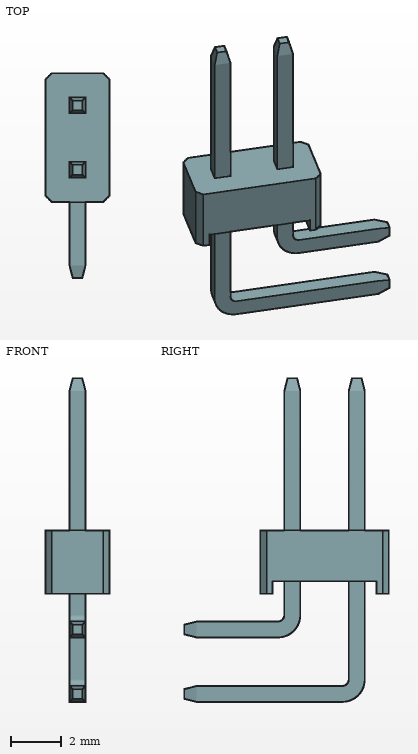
import cadquery as cq

pitch = 2.54
total_height = 12.76
total_depth = 8.08

body_width = pitch
body_length = 2 * pitch
body_height = 2.5
corner_chamfer = 0.25
foot_height = 0.5
foot_length = 0.5

pin_size = 0.64
tip_size = 0.38
tip_length = 0.5
inner_bend_radius = 0.25
pin_rise = 6.0

pin_top = body_height + pin_rise
pin_front = body_length / 2 - total_depth
lowest_axis = pin_top - total_height + pin_size / 2
bend_radius = inner_bend_radius + pin_size / 2


def make_body():
    block = cq.Workplane("XY").box(body_width, body_length, body_height, centered=(True, True, False))
    block = block.edges("|Z").chamfer(corner_chamfer)
    channel_length = body_length - 2 * foot_length
    channel = cq.Workplane("XY").box(body_width, channel_length, foot_height, centered=(True, True, False))
    return block.cut(channel)


def make_tip(base_plane):
    """Taper from the full pin section to the small flat end."""
    return (
        cq.Workplane(base_plane)
        .rect(pin_size, pin_size)
        .workplane(offset=tip_length)
        .rect(tip_size, tip_size)
        .loft(ruled=True, combine=True)
    )


def make_pin(y, axis_z):
    """Pin standing at y that bends toward -Y at height axis_z."""
    shaft_top = pin_top - tip_length
    shaft_front = pin_front + tip_length
    path = (
        cq.Workplane("YZ")
        .moveTo(y, shaft_top)
        .lineTo(y, axis_z + bend_radius)
        .tangentArcPoint((y - bend_radius, axis_z), relative=False)
        .lineTo(shaft_front, axis_z)
    )
    top_plane = cq.Plane(origin=(0, y, shaft_top), xDir=(1, 0, 0), normal=(0, 0, 1))
    front_plane = cq.Plane(origin=(0, shaft_front, axis_z), xDir=(1, 0, 0), normal=(0, -1, 0))
    shaft = cq.Workplane(top_plane).rect(pin_size, pin_size).sweep(path)
    return shaft.union(make_tip(top_plane)).union(make_tip(front_plane))


rear_pin = make_pin(pitch / 2, lowest_axis)
front_pin = make_pin(-pitch / 2, lowest_axis + pitch)
result = make_body().union(rear_pin).union(front_pin)